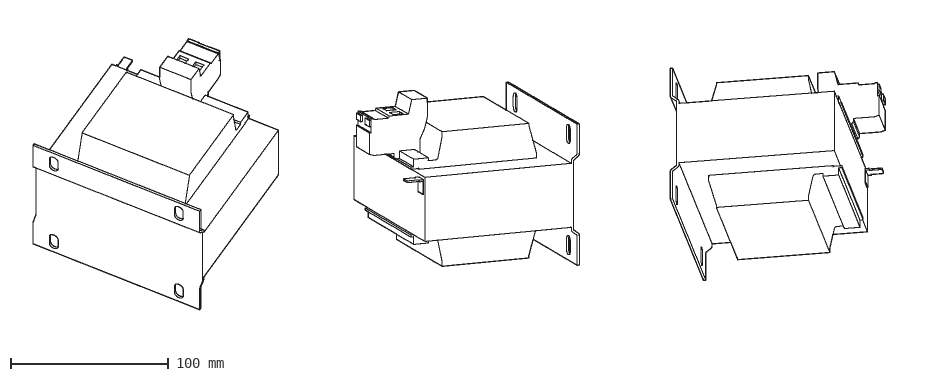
import cadquery as cq
import math


core_width = 120.0
core_front = 5.6
core_back = 105.7
core_half_height = 20.9

sheet = 1.6
bracket_half_height = 46.1
jog_start = 22.7
jog_end = 25.7
inner_bend_radius = 0.8
outer_bend_radius = inner_bend_radius + sheet
slot_spacing_x = 90.0
slot_offset_z = 36.3
slot_length = 12.3
slot_width = 6.3

cover_width = 77.2
cover_front = 20.9
cover_crown_front = 25.9
cover_crown_back = 85.3
cover_half_height = 44.0
front_edge_height = 1.6
back_edge_height = 3.0
front_skirt_top = 24.5
valley_front = 88.4
valley_height = 25.9
valley_radius = 2.0
rail_front = 94.5
rail_back = 104.7
rail_height = 27.8
lip_back = 106.7
lip_bottom = 21.4
lip_top = 22.8
lip_gap_front = 101.0

block_left = -14.8
block_right = 7.8
block_top = 60.5
block_front = 85.6
block_back = 125.2
block_bottom = lip_top
back_recess = 1.1
head_back = 96.4
deck_front = 98.7
deck_back = 111.7
deck_height = 51.2
shelf_height = 49.8
shelf_step_run = 0.6
ridge_front = 122.0
ridge_run = 0.3
ridge_height = 50.3
ledge_height = 41.3
belly_bevel_front = 122.1
belly_bevel_height = 27.3
belly_height = 26.4
foot_back = 108.7
foot_bevel_height = 24.0
foot_bevel_front = 107.5
neck_front = 90.6
neck_top = 34.4
neck_flare_front = 87.8
neck_flare_top = 40.5
front_bend_height = 48.5
front_blend_radius = 12.5
window_front = 101.4
window_back = 108.0
window_depth = 2.5
window_spans = [(-12.3, -6.1), (-0.9, 4.9)]
tooth_bottom = 45.2
tooth_top = 49.3
tooth_width = 7.0
tooth_pitch = 14.8
tooth_inset = 0.4
tooth_count = 2

tab_center_x = -54.0
tab_width = 6.1
tab_base_width = 8.1
tab_shoulder = 108.4
tab_end = 116.5
tab_top = 18.9
tab_thickness = 1.1
tab_leg_thickness = 0.6
tab_leg_bottom = 9.3


pick_tolerance = 0.01


def box(x_range, y_range, z_range):
    """Axis-aligned block given by its limits."""
    sizes = [high - low for low, high in (x_range, y_range, z_range)]
    corner = (x_range[0], y_range[0], z_range[0])
    return cq.Workplane("XY").box(*sizes, centered=False).translate(corner)


def extrude_profile(points, x_start, x_end):
    """Prism along X from a closed outline of (y, z) points."""
    profile = cq.Workplane("YZ", origin=(x_start, 0, 0)).polyline(points).close()
    return profile.extrude(x_end - x_start)


def edge_along_x(y, z):
    """Selector for the X-direction edge passing through (y, z)."""
    low = (-core_width, y - pick_tolerance, z - pick_tolerance)
    high = (core_width, y + pick_tolerance, z + pick_tolerance)
    return cq.selectors.BoxSelector(low, high)


def make_core():
    half_width = core_width / 2
    return box(
        (-half_width, half_width),
        (core_front, core_back),
        (-core_half_height, core_half_height),
    )


def make_bracket():
    web_front = core_front - sheet
    jog_angle = math.atan2(web_front, jog_end - jog_start)
    miter = sheet * math.tan(jog_angle / 2)
    web_front_bend = (web_front, jog_start)
    flange_front_bend = (0, jog_end)
    flange_back_bend = (sheet, jog_end + miter)
    web_back_bend = (core_front, jog_start + miter)
    upper = [
        web_front_bend,
        flange_front_bend,
        (0, bracket_half_height),
        (sheet, bracket_half_height),
        flange_back_bend,
        web_back_bend,
    ]
    lower = [(y, -z) for y, z in reversed(upper)]
    bracket = extrude_profile(upper + lower, -core_width / 2, core_width / 2)

    bends = [
        (web_front_bend, inner_bend_radius),
        (flange_front_bend, outer_bend_radius),
        (flange_back_bend, inner_bend_radius),
        (web_back_bend, outer_bend_radius),
    ]
    for (y, z), radius in bends:
        for side in (1, -1):
            bracket = bracket.edges(edge_along_x(y, side * z)).fillet(radius)

    slots = (
        cq.Workplane("XZ")
        .rarray(slot_spacing_x, 2 * slot_offset_z, 2, 2)
        .slot2D(slot_length, slot_width, 90)
        .extrude(-sheet)
    )
    return bracket.cut(slots)


def make_upper_cover():
    points = [
        (cover_front, core_half_height),
        (cover_front, front_skirt_top),
        (cover_crown_front, cover_half_height - front_edge_height),
        (cover_crown_front, cover_half_height),
        (cover_crown_back, cover_half_height),
        (cover_crown_back, cover_half_height - back_edge_height),
        (valley_front, valley_height),
        (rail_front, valley_height),
        (rail_front, rail_height),
        (rail_back, rail_height),
        (rail_back, lip_top),
        (lip_back, lip_top),
        (lip_back, lip_bottom),
        (lip_gap_front, lip_bottom),
        (lip_gap_front, core_half_height),
    ]
    cover = extrude_profile(points, -cover_width / 2, cover_width / 2)
    return cover.edges(edge_along_x(valley_front, valley_height)).fillet(valley_radius)


def make_terminal_block():
    recessed_back = block_back - back_recess
    blend_corner = (block_front, front_bend_height)
    points = [
        (block_front, block_top),
        (head_back, block_top),
        (deck_front, deck_height),
        (deck_back, deck_height),
        (deck_back + shelf_step_run, shelf_height),
        (ridge_front, shelf_height),
        (ridge_front + ridge_run, ridge_height),
        (recessed_back, ridge_height),
        (recessed_back, ledge_height),
        (block_back, ledge_height),
        (block_back, belly_bevel_height),
        (belly_bevel_front, belly_height),
        (foot_back, belly_height),
        (foot_back, foot_bevel_height),
        (foot_bevel_front, block_bottom),
        (rail_front, block_bottom),
        (neck_front, valley_height),
        (neck_front, neck_top),
        (neck_flare_front, neck_flare_top),
        blend_corner,
    ]
    block = extrude_profile(points, block_left, block_right)
    block = block.edges(edge_along_x(*blend_corner)).fillet(front_blend_radius)

    for span in window_spans:
        depth_range = (deck_height - window_depth, deck_height)
        block = block.cut(box(span, (window_front, window_back), depth_range))

    for index in range(tooth_count):
        left = block_left + tooth_inset + index * tooth_pitch
        tooth = box(
            (left, left + tooth_width),
            (recessed_back, block_back),
            (tooth_bottom, tooth_top),
        )
        block = block.union(tooth)
    return block


def make_earth_tab():
    def centered_span(width):
        return (tab_center_x - width / 2, tab_center_x + width / 2)

    blade_heights = (tab_top - tab_thickness, tab_top)
    blade = box(centered_span(tab_width), (core_back, tab_end), blade_heights)
    base = box(centered_span(tab_base_width), (core_back, tab_shoulder), blade_heights)
    leg = box(
        centered_span(tab_base_width),
        (core_back, core_back + tab_leg_thickness),
        (tab_leg_bottom, tab_top),
    )
    return blade.union(base).union(leg)


upper_cover = make_upper_cover()
lower_cover = upper_cover.mirror("XY")

result = (
    make_core()
    .union(make_bracket())
    .union(upper_cover)
    .union(lower_cover)
    .union(make_terminal_block())
    .union(make_earth_tab())
)